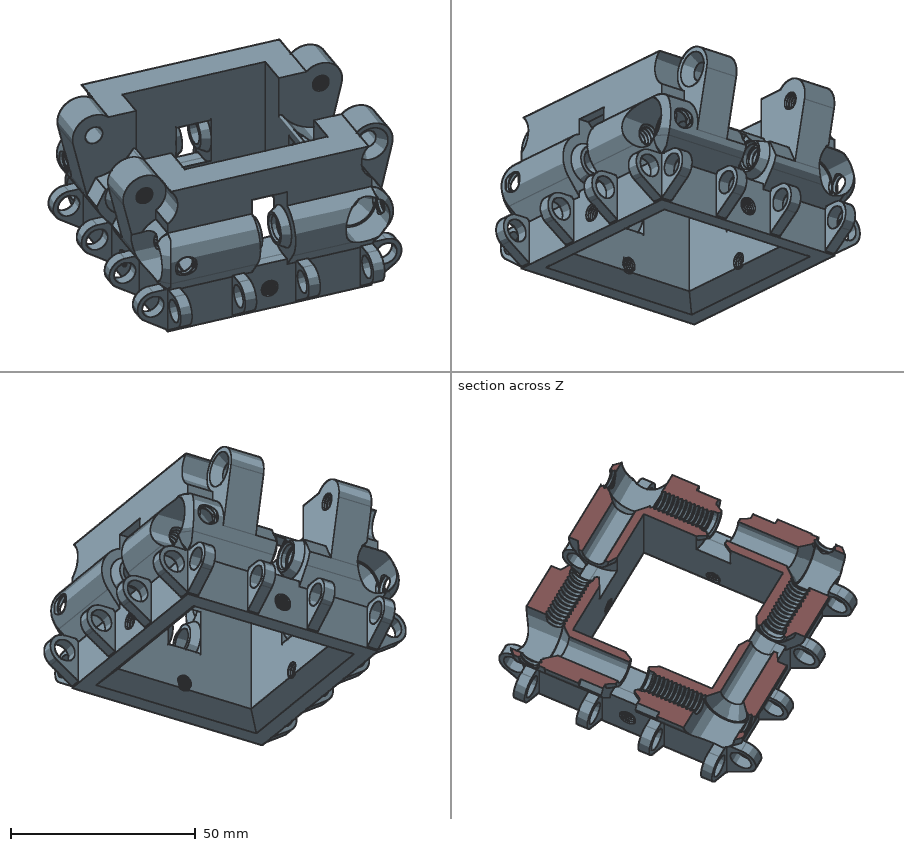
import cadquery as cq
import math

OVERALL_X = 78.09
OVERALL_Y = 79.77
OVERALL_Z = 45.94
BODY_SIDE = 60.325
BODY_HEIGHT = 44.3
CAVITY_SIDE = 42.2
CAVITY_MOUTH_SIDE = 50.8
CAVITY_FLARE_HEIGHT = (CAVITY_MOUTH_SIDE - CAVITY_SIDE) / 2
HALF = BODY_SIDE / 2
REACH = 60.0

TUBE_OFFSET = 27.1
TUBE_Z = 23.1
TUBE_RADIUS = 8.8
TUBE_FOOT_Z = 12.75
CORNER_REACH = 5.15
GAP_HALF = 5.2
TIP_X = 2.75
TIP_BASE_RADIUS = 6.0
TIP_END_RADIUS = 4.55

WINDOW_RADIUS = 8.7
WINDOW_INNER_TOP_Z = 29.7
WINDOW_OUTER_TOP_Z = 35.7

TUBE_MINOR_DIAMETER = 5.12
TUBE_MAJOR_DIAMETER = 6.35
TUBE_PITCH = 1.27
TUBE_CLEARANCE_DIAMETER = 6.76
THREAD_RECESS = 2.0
MOUTH_DIAMETER = 7.8
MOUTH_DEPTH = 0.6
HEAD_BORE_DIAMETER = 13.99
HEAD_BORE_FLOOR = 24.5
HEAD_CONE_DIAMETER = 12.9
HEAD_CONE_DEPTH = 3.5

EAR_RADIUS = 6.35
EAR_Y = OVERALL_Y / 2 - EAR_RADIUS
EAR_Z = OVERALL_Z - EAR_RADIUS
EAR_INNER_X = 11.9
EAR_OUTER_X = 22.25
SWING_RADIUS = 13.6
SADDLE_WALL_Z = 32.5
RIM_INNER_DROP = 0.6
RIM_OUTER_DROP = 0.25
FACET_START_Y = 33.0
EAR_CLEARANCE_DIAMETER = 5.11
EAR_CONE_DIAMETER = 9.85
EAR_CONE_DEPTH = 2.7

SMALL_MINOR_DIAMETER = 4.06
SMALL_MAJOR_DIAMETER = 4.83
SMALL_PITCH = 0.79
WALL_HOLE_Z = 6.35

LUG_REACH = OVERALL_X / 2
LUG_RADIUS = 4.6
LUG_OFFSET = LUG_REACH - LUG_RADIUS
LUG_Z = 8.95
LUG_FOOT_Z = 0.5
LUG_WIDTH = 3.35
LUG_STARTS = (-HALF, -11.1, 7.75, HALF - LUG_WIDTH)
LUG_HOLE_DIAMETER = 6.35


def tangent_normal(end, center, end_radius, radius, side):
    """Angle of the normal of a line that touches a circle and a second circle (or point) at its end.

    side is 1 or -1 and picks the tangent, counted by turning from the direction of the end.
    """
    along = end[0] - center[0]
    rise = end[1] - center[1]
    spread = math.acos((radius - end_radius) / math.hypot(along, rise))
    return math.atan2(rise, along) + side * spread


def on_circle(center, radius, angle):
    return (center[0] + radius * math.cos(angle), center[1] + radius * math.sin(angle))


def outward_plane(x_start):
    """Plane across the X axis: its x runs outward from the front wall (-Y), its y is up."""
    return cq.Plane(origin=(x_start, 0, 0), xDir=(0, -1, 0), normal=(-1, 0, 0))


def front_prism(outline, x_start, x_end):
    """Extrude a closed (outward, Z) outline along X on the front side."""
    return outline(cq.Workplane(outward_plane(x_end))).extrude(x_end - x_start)


def cylinder_x(outward, z, radius, x_start, x_end):
    """Cylinder along X, beside the front wall."""
    return front_prism(lambda plane: plane.center(outward, z).circle(radius), x_start, x_end)


def cone_x(outward, z, x_start, start_radius, x_end, end_radius):
    """Cone along X, beside the front wall."""
    height = x_end - x_start
    solid = cq.Solid.makeCone(start_radius, end_radius, height,
                              cq.Vector(x_start, -outward, z), cq.Vector(1, 0, 0))
    return cq.Workplane(solid)


def tapped_hole(length, minor_diameter, major_diameter, pitch):
    """Hole along +X from the origin with ring-shaped thread grooves."""
    minor = minor_diameter / 2
    major = major_diameter / 2
    turns = int(length / pitch)
    profile = cq.Workplane("XY").lineTo(0, major)
    for turn in range(turns):
        profile = profile.lineTo((turn + 0.5) * pitch, minor).lineTo((turn + 1) * pitch, major)
    profile = profile.lineTo(length, minor).lineTo(length, 0).close()
    return profile.revolve(360, (0, 0, 0), (1, 0, 0))


def around(shape, count):
    """Copies of a shape, evenly turned about the Z axis, as a list."""
    return [shape.rotate((0, 0, 0), (0, 0, 1), turn * 360 / count) for turn in range(count)]



TUBE_CENTER = (TUBE_OFFSET, TUBE_Z)
EAR_CENTER = (EAR_Y, EAR_Z)


def tube_outline(plane, shift=0.0):
    """Tube section outside the wall; shift moves it along the plane's x."""
    top_z = TUBE_Z + math.sqrt(TUBE_RADIUS ** 2 - (HALF - TUBE_OFFSET) ** 2)
    foot_angle = tangent_normal((HALF, TUBE_FOOT_Z), TUBE_CENTER, 0, TUBE_RADIUS, 1)
    tangent = on_circle(TUBE_CENTER, TUBE_RADIUS, foot_angle)
    return (plane.moveTo(HALF + shift, TUBE_FOOT_Z)
            .lineTo(tangent[0] + shift, tangent[1])
            .threePointArc((TUBE_OFFSET + TUBE_RADIUS + shift, TUBE_Z), (HALF + shift, top_z))
            .close())


def make_body():
    return cq.Workplane("XY").rect(BODY_SIDE, BODY_SIDE).extrude(BODY_HEIGHT)


def make_cavity():
    shaft = cq.Workplane("XY").rect(CAVITY_SIDE, CAVITY_SIDE).extrude(BODY_HEIGHT)
    flare = (cq.Workplane("XY").rect(CAVITY_MOUTH_SIDE, CAVITY_MOUTH_SIDE)
             .workplane(offset=CAVITY_FLARE_HEIGHT).rect(CAVITY_SIDE, CAVITY_SIDE).loft(ruled=True))
    return shaft.union(flare)


def make_tube():
    """Front tube with the bevelled corner that joins it to the next one."""
    tube = front_prism(tube_outline, -HALF, HALF)
    end = HALF + TUBE_RADIUS
    front_end = front_prism(tube_outline, HALF, end)
    side_end = front_prism(tube_outline, -end, -HALF).rotate((0, 0, 0), (0, 0, 1), 90)
    diagonal = cq.Plane(origin=(HALF, -HALF, 0), xDir=(1, -1, 0), normal=(-1, -1, 0))
    bevel_shift = CORNER_REACH - (TUBE_OFFSET + TUBE_RADIUS)
    bevel = tube_outline(cq.Workplane(diagonal), bevel_shift).extrude(TUBE_RADIUS, both=True)
    return tube.union(front_end.intersect(side_end).intersect(bevel))


def window_outline(plane):
    """Gap in the tube and window in the wall, with sloping top and hollow sill."""
    wall = CAVITY_SIDE / 2
    slope_end = wall + WINDOW_OUTER_TOP_Z - WINDOW_INNER_TOP_Z
    sill_z = TUBE_Z - WINDOW_RADIUS
    inner_sill = TUBE_Z - math.sqrt(WINDOW_RADIUS ** 2 - (TUBE_OFFSET - wall) ** 2)
    hollow_turn = math.asin((TUBE_OFFSET - wall) / WINDOW_RADIUS)
    middle = on_circle(TUBE_CENTER, WINDOW_RADIUS, -math.pi / 2 - hollow_turn / 2)
    return (plane.moveTo(wall, inner_sill).threePointArc(middle, (TUBE_OFFSET, sill_z))
            .lineTo(HALF, sill_z).lineTo(HALF, TUBE_FOOT_Z).lineTo(REACH, TUBE_FOOT_Z)
            .lineTo(REACH, WINDOW_OUTER_TOP_Z).lineTo(slope_end, WINDOW_OUTER_TOP_Z)
            .lineTo(wall, WINDOW_INNER_TOP_Z).close())


def make_tips():
    left = cone_x(TUBE_OFFSET, TUBE_Z, -GAP_HALF, TIP_BASE_RADIUS, -TIP_X, TIP_END_RADIUS)
    return left.union(left.mirror("YZ"))


def make_tube_screw():
    """Front tube's screw: head at the -X end, thread in the +X half."""
    bore = cylinder_x(TUBE_OFFSET, TUBE_Z, HEAD_BORE_DIAMETER / 2, -REACH, -HEAD_BORE_FLOOR)
    cone = cone_x(TUBE_OFFSET, TUBE_Z, -HEAD_BORE_FLOOR, HEAD_CONE_DIAMETER / 2,
                  HEAD_CONE_DEPTH - HEAD_BORE_FLOOR, TUBE_CLEARANCE_DIAMETER / 2)
    clearance = cylinder_x(TUBE_OFFSET, TUBE_Z, TUBE_CLEARANCE_DIAMETER / 2, -HEAD_BORE_FLOOR, 0)
    thread_length = TUBE_OFFSET + TUBE_RADIUS - TIP_X
    thread = tapped_hole(thread_length, TUBE_MINOR_DIAMETER, TUBE_MAJOR_DIAMETER, TUBE_PITCH)
    recess = cylinder_x(TUBE_OFFSET, TUBE_Z, TUBE_CLEARANCE_DIAMETER / 2, 0, TIP_X + THREAD_RECESS)
    mouth = cone_x(TUBE_OFFSET, TUBE_Z, TIP_X, MOUTH_DIAMETER / 2,
                   TIP_X + MOUTH_DEPTH, TUBE_CLEARANCE_DIAMETER / 2)
    head = bore.union(cone).union(clearance).union(recess).union(mouth)
    return head.union(thread.translate((TIP_X, -TUBE_OFFSET, TUBE_Z)))



EAR_FACE_ANGLE = tangent_normal(EAR_CENTER, TUBE_CENTER, EAR_RADIUS, TUBE_RADIUS, -1)


def ear_outline(plane):
    upper = on_circle(EAR_CENTER, EAR_RADIUS, EAR_FACE_ANGLE)
    lower = on_circle(TUBE_CENTER, TUBE_RADIUS, EAR_FACE_ANGLE)
    return (plane.moveTo(*lower).lineTo(*upper)
            .threePointArc((EAR_Y, EAR_Z + EAR_RADIUS), (EAR_Y - EAR_RADIUS, EAR_Z))
            .lineTo(TUBE_OFFSET, TUBE_Z).close())


def make_ears():
    left = front_prism(ear_outline, -EAR_OUTER_X, -EAR_INNER_X)
    return left.union(left.mirror("YZ"))


def saddle_outline(plane):
    """Hollow around the ear axis, then a flat down to the lower end of the ear face."""
    facet_end = on_circle(TUBE_CENTER, TUBE_RADIUS, EAR_FACE_ANGLE)
    rim_z = SADDLE_WALL_Z - RIM_OUTER_DROP
    wall_y = EAR_Y - math.sqrt(SWING_RADIUS ** 2 - (EAR_Z - rim_z) ** 2)
    facet_start_z = EAR_Z - math.sqrt(SWING_RADIUS ** 2 - (EAR_Y - FACET_START_Y) ** 2)
    rim_angle = math.atan2(rim_z - EAR_Z, wall_y - EAR_Y)
    facet_angle = math.atan2(facet_start_z - EAR_Z, FACET_START_Y - EAR_Y)
    middle = on_circle(EAR_CENTER, SWING_RADIUS, (rim_angle + facet_angle) / 2)
    inner_y = CAVITY_SIDE / 2
    inner_z = SADDLE_WALL_Z - RIM_INNER_DROP
    return (plane.moveTo(0, inner_z).lineTo(inner_y, inner_z)
            .threePointArc((inner_y + RIM_INNER_DROP, SADDLE_WALL_Z), (wall_y, rim_z))
            .threePointArc(middle, (FACET_START_Y, facet_start_z))
            .lineTo(*facet_end).lineTo(REACH, facet_end[1])
            .lineTo(REACH, REACH).lineTo(0, REACH).close())


def make_saddle_cut():
    return front_prism(saddle_outline, -EAR_INNER_X, EAR_INNER_X)


def make_ear_clearance():
    """Round hollows beside the ears for the ears of the mating part."""
    left = cylinder_x(EAR_Y, EAR_Z, EAR_RADIUS, -REACH, -EAR_OUTER_X)
    return left.union(left.mirror("YZ"))


def make_ear_screw():
    """Countersunk clearance hole in the -X ear, tapped hole in the +X ear."""
    cone_end = EAR_CONE_DEPTH - EAR_OUTER_X
    cone = cone_x(EAR_Y, EAR_Z, -EAR_OUTER_X, EAR_CONE_DIAMETER / 2,
                  cone_end, EAR_CLEARANCE_DIAMETER / 2)
    clearance = cylinder_x(EAR_Y, EAR_Z, EAR_CLEARANCE_DIAMETER / 2, -EAR_OUTER_X, -EAR_INNER_X)
    thread = tapped_hole(EAR_OUTER_X - EAR_INNER_X,
                         SMALL_MINOR_DIAMETER, SMALL_MAJOR_DIAMETER, SMALL_PITCH)
    return cone.union(clearance).union(thread.translate((EAR_INNER_X, -EAR_Y, EAR_Z)))



def lug_outline(plane):
    center = (LUG_OFFSET, LUG_Z)
    tangent = on_circle(center, LUG_RADIUS,
                        tangent_normal((HALF, LUG_FOOT_Z), center, 0, LUG_RADIUS, 1))
    return (plane.moveTo(HALF, LUG_FOOT_Z).lineTo(*tangent)
            .threePointArc((LUG_REACH, LUG_Z), (LUG_OFFSET, LUG_Z + LUG_RADIUS))
            .lineTo(HALF, LUG_Z + LUG_RADIUS).close())


def make_lugs():
    lugs = cq.Workplane()
    for start in LUG_STARTS:
        lugs = lugs.add(front_prism(lug_outline, start, start + LUG_WIDTH))
    pin_hole = cylinder_x(LUG_OFFSET, LUG_Z, LUG_HOLE_DIAMETER / 2, -REACH, REACH)
    return lugs.combine().cut(pin_hole)


def make_wall_hole():
    hole = tapped_hole(HALF - CAVITY_SIDE / 2,
                       SMALL_MINOR_DIAMETER, SMALL_MAJOR_DIAMETER, SMALL_PITCH)
    return hole.translate((-HALF, 0, WALL_HOLE_Z))



result = make_body()
for tube in around(make_tube(), 4):
    result = result.union(tube)
for ears in around(make_ears(), 2):
    result = result.union(ears)

window = front_prism(window_outline, -GAP_HALF, GAP_HALF)
for cut in around(window, 4):
    result = result.cut(cut)
for tips in around(make_tips(), 4):
    result = result.union(tips)
for lugs in around(make_lugs(), 4):
    result = result.union(lugs)

result = result.cut(make_cavity())
for feature in (make_saddle_cut(), make_ear_clearance(), make_ear_screw()):
    for cut in around(feature, 2):
        result = result.cut(cut)
for feature in (make_tube_screw(), make_wall_hole()):
    for cut in around(feature, 4):
        result = result.cut(cut)